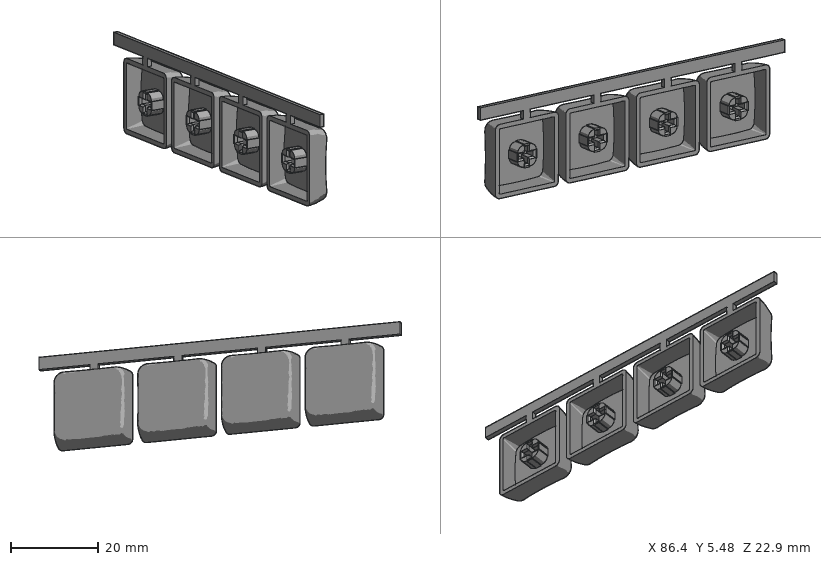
import cadquery as cq
import math

cap_count = 4
cap_pitch = 20.0
cap_size = 17.87

base_corner_radius = 1.2
mid_depth = 3.0
mid_inset = 0.16
mid_corner_radius = 2.0
blank_height = 6.2
blank_inset = 0.8
blank_corner_radius = 2.8

dish_radius = 55.0
dish_floor_height = 4.575
rim_fillet = 1.0

wall = 1.08
cavity_corner_radius = 0.3
cavity_end_depth = 5.0
cavity_end_inset_x = 0.6
cavity_end_inset_z = 0.75
cavity_end_corner_radius = 1.6
roof_thickness = 1.4

post_size = 5.3
post_corner_radius = 1.7
rib_span = 5.75
side_rib_width = 2.1
upright_rib_width = 1.55
stem_length = dish_floor_height - roof_thickness / 2

level_arm = (4.2, 1.3)
level_arm_mouth = (5.0, 2.05)
upright_arm = (1.15, 4.2)
upright_arm_mouth = (1.55, 4.9)
mouth_depth = 0.5
socket_depth = 3.0

rail_length = 86.36
rail_height = 3.0
rail_thickness = 1.1
tab_width = 1.95
tab_height = 2.0


def plane_at(depth):
    """Workplane at Y = depth whose extrusions run towards +Y."""
    plane = cq.Plane(origin=(0, depth, 0), xDir=(1, 0, 0), normal=(0, -1, 0))
    return cq.Workplane(plane)


def block(x_size, z_size, length):
    """Box centred in X and Z that runs from the rim plane towards +Y."""
    return plane_at(0).rect(x_size, z_size).extrude(-length)


def rounded_rectangle(x_size, z_size, radius, depth):
    """Closed wire of a rounded rectangle in the plane Y = depth."""
    half_x = x_size / 2
    half_z = z_size / 2
    flat_x = half_x - radius
    flat_z = half_z - radius
    mid_x = flat_x + radius * math.sqrt(0.5)
    mid_z = flat_z + radius * math.sqrt(0.5)
    return (
        plane_at(depth)
        .moveTo(-flat_x, -half_z)
        .lineTo(flat_x, -half_z)
        .threePointArc((mid_x, -mid_z), (half_x, -flat_z))
        .lineTo(half_x, flat_z)
        .threePointArc((mid_x, mid_z), (flat_x, half_z))
        .lineTo(-flat_x, half_z)
        .threePointArc((-mid_x, mid_z), (-half_x, flat_z))
        .lineTo(-half_x, -flat_z)
        .threePointArc((-mid_x, -mid_z), (-flat_x, -half_z))
        .close()
        .val()
    )


def rounded_square(size, radius, depth):
    """Closed wire of a rounded square in the plane Y = depth."""
    return rounded_rectangle(size, size, radius, depth)


def dish_ball(clearance):
    """Ball that shapes the dish, grown by the clearance."""
    centre_y = dish_floor_height + dish_radius
    return cq.Workplane("XY").sphere(dish_radius + clearance).translate((0, centre_y, 0))


def make_shell():
    wires = [
        rounded_square(cap_size, base_corner_radius, 0),
        rounded_square(cap_size - 2 * mid_inset, mid_corner_radius, mid_depth),
        rounded_square(cap_size - 2 * blank_inset, blank_corner_radius, blank_height),
    ]
    blank = cq.Workplane(cq.Solid.makeLoft(wires))
    shell = blank.cut(dish_ball(0))
    return shell.faces("%SPHERE").edges().fillet(rim_fillet)


def make_cavity():
    opening = cap_size - 2 * wall
    end_x = opening - 2 * cavity_end_inset_x
    end_z = opening - 2 * cavity_end_inset_z
    wires = [
        rounded_square(opening, cavity_corner_radius, 0),
        rounded_rectangle(end_x, end_z, cavity_end_corner_radius, cavity_end_depth),
    ]
    return cq.Workplane(cq.Solid.makeLoft(wires)).cut(dish_ball(roof_thickness))


def make_stem():
    post = block(post_size, post_size, stem_length).edges("|Y").fillet(post_corner_radius)
    side_ribs = block(rib_span, side_rib_width, stem_length)
    upright_ribs = block(upright_rib_width, rib_span, stem_length)
    return post.union(side_ribs).union(upright_ribs)


def make_socket_arm(arm, mouth):
    flare = plane_at(0).rect(*mouth).workplane(offset=-mouth_depth).rect(*arm).loft(ruled=True)
    return block(*arm, socket_depth).union(flare)


def make_tab():
    overlap = wall / 2
    tab = cq.Workplane("XY").box(
        tab_width, rail_thickness, tab_height + overlap, centered=(True, False, False)
    )
    return tab.translate((0, 0, cap_size / 2 - overlap))


def make_cap():
    cap = make_shell().cut(make_cavity()).union(make_stem())
    cap = cap.cut(make_socket_arm(level_arm, level_arm_mouth))
    cap = cap.cut(make_socket_arm(upright_arm, upright_arm_mouth))
    return cap.union(make_tab())


def make_rail():
    rail = cq.Workplane("XY").box(
        rail_length, rail_thickness, rail_height, centered=(True, False, False)
    )
    return rail.translate((0, 0, cap_size / 2 + tab_height))


cap = make_cap()
first_x = -(cap_count - 1) / 2 * cap_pitch
result = make_rail()
for index in range(cap_count):
    result = result.union(cap.translate((first_x + index * cap_pitch, 0, 0)))